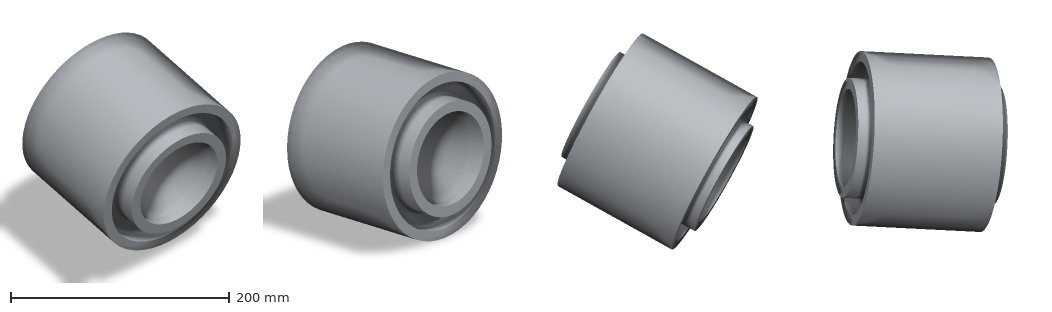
import cadquery as cq

outer_diameter = 160.0
outer_length = 120.0
outer_bore = 141.0
sleeve_diameter = 110.0
sleeve_bore = 90.0
sleeve_length = 140.0
recess_depth = 15.0
fillet_radius = 3.4
edge_reach = 1.6

ring_length = outer_length - 2 * recess_depth


def tube(length, outside, inside):
    """Hollow cylinder along X, centred on the origin."""
    profile = cq.Workplane("YZ").circle(outside / 2).circle(inside / 2)
    return profile.extrude(length / 2, both=True)


outer_tube = tube(outer_length, outer_diameter, outer_bore)
sleeve = tube(sleeve_length, sleeve_diameter, sleeve_bore)
ring = tube(ring_length, outer_bore, sleeve_diameter)
body = outer_tube.union(sleeve).union(ring).clean()

for side in (-1, 1):
    ring_plane_x = side * ring_length / 2
    corner_edges = cq.selectors.BoxSelector(
        (ring_plane_x - edge_reach, -outer_diameter, -outer_diameter),
        (ring_plane_x + edge_reach, outer_diameter, outer_diameter),
    )
    body = body.edges(corner_edges).fillet(fillet_radius)

result = body